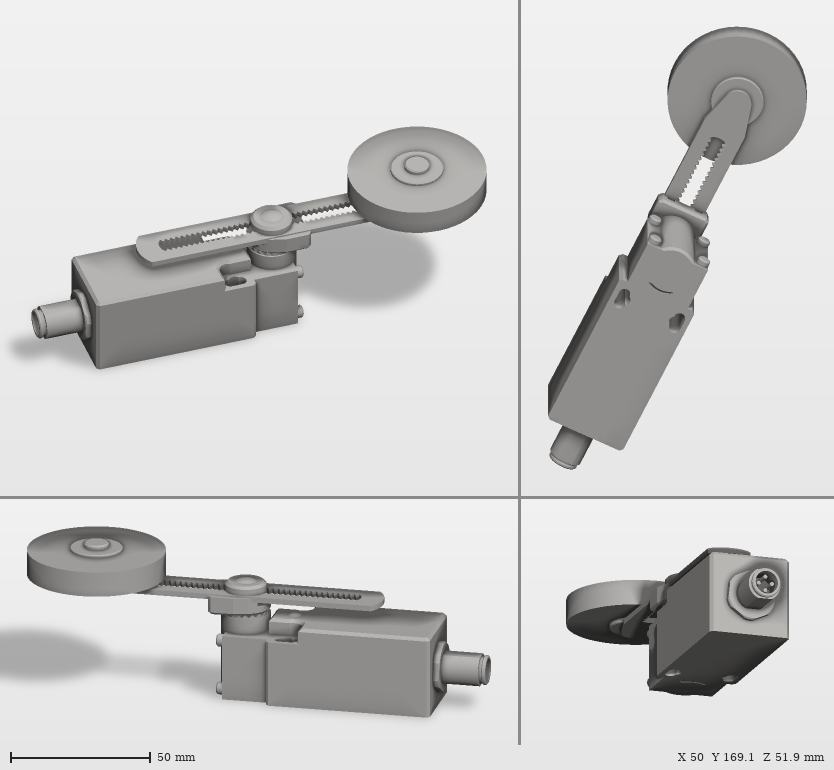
import cadquery as cq
import math


housing_width = 30.0
housing_height = 30.0
housing_rear_y = -10.5
housing_front_y = -70.9
housing_chamfer = 1.1
neck_width = 24.0
shoulder_z = 24.0
notch_wall_y = -22.6
ridge_width = 12.8
ridge_rear_y = -9.9
notch_pocket_x = 9.3
notch_pocket_radius = 3.3

slot_x = 10.95
slot_y = -17.2
slot_length = 8.1
slot_width = 4.1
slot_relief_x = 10.1
slot_relief_radius = 2.2

lamp_y = -18.0
lamp_radius = 2.6
lamp_rise = 0.75

connector_z = 14.4
nut_corner_radius = 10.05
nut_thickness = 2.2
nut_angle = 24.0
nut_rim_radius = 9.3
nut_chamfer = 0.5
stem_radius = 6.0
stem_flat_height = 5.4
stem_end_y = -86.7
groove_radius = 4.9
groove_width = 0.9
tip_radius = 5.4
tip_chamfer = 0.4
tip_end_y = -89.1
bore_radius = 4.2
bore_depth = 9.0
contact_count = 4
contact_radius = 0.75
contact_circle_radius = 2.5
contact_recess = 1.5

joint_y = -7.2
tongue_y = -9.9
tongue_bottom_z = 6.1
tongue_top_z = 18.4
head_block_rear_y = 6.0
head_shaft_radius = 9.0
head_shaft_top_z = 30.0
head_shaft_chamfer = 0.9
head_screw_x = 9.7
head_screw_z = (3.5, 21.7)
head_screw_radius = 2.3
head_screw_height = 2.4
head_screw_chamfer = 0.5

tooth_count = 18
tooth_height = 1.1
tooth_width = 2.6
tooth_outer_radius = 8.4
tooth_inner_radius = 5.5

hub_bottom_z = head_shaft_top_z + tooth_height
hub_top_z = 37.8
hub_width = 20.0
hub_rear_y = 12.0
hub_flat_end_y = 2.5
hub_nose_radius = 9.0
hub_corner_chamfer = 1.3
hub_bottom_chamfer = 0.9
hub_groove_inner_x = 4.0
hub_groove_outer_x = 6.9
hub_groove_depth = 2.1

arm_bottom_z = 36.3
arm_thickness = 2.0
arm_top_z = arm_bottom_z + arm_thickness
arm_width = 16.0
arm_front_y = -50.6
arm_front_corner_y = -47.7
arm_taper_start_y = 44.7
roller_y = 55.0
arm_tip_radius = 5.1
serration_pitch = 2.0
serration_inner_x = 2.15
serration_outer_x = 3.45
first_serration_y = -41.0
serration_count = 41
arm_slot_end_step = 1.0
arm_slot_end_rise = 0.4

clamp_head_radius = 7.5
clamp_head_height = 3.3
clamp_head_chamfer = 1.0
clamp_dome_radius = 4.0
clamp_dome_rise = 0.9
clamp_shank_radius = 2.0
clamp_shank_bottom_z = 33.0

roller_radius = 25.0
roller_bottom_z = 39.9
roller_top_z = 49.1
bush_radius = 9.5
bush_top_z = 50.2
bush_chamfer = 0.3
rivet_head_radius = 4.5
rivet_top_z = 51.9
rivet_chamfer = 0.5
rivet_shank_radius = 2.5


def box(x_min, x_max, y_min, y_max, z_min, z_max):
    """Axis-aligned box between the given limits."""
    size = (x_max - x_min, y_max - y_min, z_max - z_min)
    return cq.Workplane("XY").box(*size, centered=False).translate((x_min, y_min, z_min))


def disc(radius, z_min, z_max, x=0.0, y=0.0):
    """Vertical cylinder."""
    return cq.Workplane("XY", origin=(x, y, z_min)).circle(radius).extrude(z_max - z_min)


def bar(radius, y_rear, y_front, x=0.0, z=connector_z):
    """Cylinder along Y, running toward -Y from y_rear to y_front."""
    return cq.Workplane("XZ", origin=(x, y_rear, z)).circle(radius).extrude(y_rear - y_front)


def dome(base_radius, rise, z_base, y=0.0):
    """Spherical cap standing on the plane z_base."""
    profile = (
        cq.Workplane("XZ")
        .lineTo(base_radius, 0)
        .radiusArc((0, rise), -(base_radius**2 + rise**2) / (2 * rise))
        .close()
    )
    return profile.revolve(360, (0, 0, 0), (0, 1, 0)).translate((0, y, z_base))


def make_notch(side):
    """Space above one mounting shoulder, with a round pocket at its inner corner."""
    pocket_y = notch_wall_y + notch_pocket_radius
    pocket_x = side * notch_pocket_x
    x_min, x_max = sorted((side * ridge_width / 2, side * housing_width))
    inner_part = box(x_min, x_max, pocket_y, 0, shoulder_z, housing_height)
    x_min, x_max = sorted((pocket_x, side * housing_width))
    outer_part = box(x_min, x_max, notch_wall_y, pocket_y, shoulder_z, housing_height)
    pocket = disc(notch_pocket_radius, shoulder_z, housing_height, pocket_x, pocket_y)
    return inner_part.union(outer_part).union(pocket)


def make_mounting_slot(side):
    """Through slot in one mounting shoulder, widened on its inner side."""
    slot = (
        cq.Workplane("XY", origin=(side * slot_x, slot_y, 0))
        .slot2D(slot_length, slot_width, 90)
        .extrude(shoulder_z)
    )
    return slot.union(disc(slot_relief_radius, 0, shoulder_z, side * slot_relief_x, slot_y))


def make_connector():
    """Hexagon collar and flatted stem with a groove, a hollow tip and contacts in its bore."""
    nut_end_y = housing_front_y - nut_thickness
    nut = (
        cq.Workplane("XZ", origin=(0, housing_front_y, connector_z))
        .polygon(6, 2 * nut_corner_radius)
        .extrude(nut_thickness)
        .rotate((0, 0, connector_z), (0, 1, connector_z), -nut_angle)
    )
    nut_rim = bar(nut_rim_radius, housing_front_y, nut_end_y).faces("<Y").chamfer(nut_chamfer)
    nut = nut.intersect(nut_rim)

    stem = bar(stem_radius, nut_end_y, stem_end_y)
    flats = box(
        -stem_radius, stem_radius, stem_end_y, nut_end_y,
        connector_z - stem_flat_height, connector_z + stem_flat_height,
    )
    tip_start_y = stem_end_y - groove_width
    groove = bar(groove_radius, stem_end_y, tip_start_y)
    tip = bar(tip_radius, tip_start_y, tip_end_y).faces("<Y or >Y").chamfer(tip_chamfer)
    bore_floor_y = tip_end_y + bore_depth
    bore = bar(bore_radius, bore_floor_y, tip_end_y)

    connector = nut.union(stem.intersect(flats)).union(groove).union(tip).cut(bore)
    for i in range(contact_count):
        angle = 2 * math.pi * i / contact_count
        contact = bar(
            contact_radius, bore_floor_y, tip_end_y + contact_recess,
            contact_circle_radius * math.cos(angle),
            connector_z + contact_circle_radius * math.sin(angle),
        )
        connector = connector.union(contact)
    return connector


def make_housing():
    half_width = housing_width / 2
    body = box(-half_width, half_width, housing_front_y, housing_rear_y, 0, housing_height)
    body = body.edges("|Z").chamfer(housing_chamfer)
    body = body.union(box(
        -ridge_width / 2, ridge_width / 2, notch_wall_y, ridge_rear_y, shoulder_z, housing_height,
    ))
    for side in (-1, 1):
        body = body.cut(make_notch(side))
    body = body.faces(">Z").chamfer(housing_chamfer)

    neck = box(-neck_width / 2, neck_width / 2, housing_rear_y, joint_y, 0, shoulder_z)
    tongue_recess = box(
        -neck_width / 2, neck_width / 2, tongue_y, joint_y, tongue_bottom_z, tongue_top_z,
    )
    shaft_recess = disc(head_shaft_radius, 0, shoulder_z)
    body = body.union(neck.cut(tongue_recess).cut(shaft_recess))
    for side in (-1, 1):
        body = body.cut(make_mounting_slot(side))
    return body.union(dome(lamp_radius, lamp_rise, housing_height, lamp_y)).union(make_connector())


def make_tooth_ring():
    """Ring of radial V-shaped teeth around a central boss."""
    ring = disc(tooth_inner_radius, head_shaft_top_z, hub_bottom_z)
    rim = disc(tooth_outer_radius, head_shaft_top_z, hub_bottom_z)
    tooth = (
        cq.Workplane("YZ", origin=(0, 0, head_shaft_top_z))
        .polyline([(-tooth_width / 2, 0), (tooth_width / 2, 0), (0, tooth_height)])
        .close()
        .extrude(head_shaft_radius)
    )
    for i in range(tooth_count):
        ring = ring.union(tooth.rotate((0, 0, 0), (0, 0, 1), 90 + 360 * i / tooth_count))
    return ring.intersect(rim)


def make_head():
    half_width = neck_width / 2
    head = box(-half_width, half_width, joint_y, head_block_rear_y, 0, shoulder_z)
    head = head.union(box(
        -half_width, half_width, tongue_y, joint_y, tongue_bottom_z, tongue_top_z,
    ))
    shaft = disc(head_shaft_radius, 0, head_shaft_top_z).faces("<Z").chamfer(head_shaft_chamfer)
    head = head.union(shaft)
    for side in (-1, 1):
        for z in head_screw_z:
            screw_head = (
                bar(head_screw_radius, head_block_rear_y + head_screw_height, head_block_rear_y,
                    side * head_screw_x, z)
                .faces(">Y").chamfer(head_screw_chamfer)
            )
            head = head.union(screw_head)
    return head.union(make_tooth_ring())


def make_hub():
    half_width = hub_width / 2
    corner_distance = math.hypot(half_width, hub_flat_end_y)
    tangent_angle = (
        math.atan2(hub_flat_end_y, half_width) - math.acos(hub_nose_radius / corner_distance)
    )
    nose_x = hub_nose_radius * math.cos(tangent_angle)
    nose_y = hub_nose_radius * math.sin(tangent_angle)
    hub = (
        cq.Workplane("XY", origin=(0, 0, hub_bottom_z))
        .moveTo(half_width, hub_rear_y)
        .lineTo(half_width, hub_flat_end_y)
        .lineTo(nose_x, nose_y)
        .threePointArc((0, -hub_nose_radius), (-nose_x, nose_y))
        .lineTo(-half_width, hub_flat_end_y)
        .lineTo(-half_width, hub_rear_y)
        .close()
        .extrude(hub_top_z - hub_bottom_z)
        .edges("|Z and >Y").chamfer(hub_corner_chamfer)
        .faces("<Z").chamfer(hub_bottom_chamfer)
    )
    half_arm = arm_width / 2
    hub = hub.cut(box(-half_arm, half_arm, -hub_width, hub_width, arm_bottom_z, hub_top_z))
    for side in (-1, 1):
        inner_x, outer_x = sorted((side * hub_groove_inner_x, side * hub_groove_outer_x))
        hub = hub.cut(box(
            inner_x, outer_x, -hub_width, hub_width, arm_bottom_z - hub_groove_depth, arm_bottom_z,
        ))
    return hub.cut(disc(clamp_shank_radius, clamp_shank_bottom_z, hub_top_z))


def make_arm_slot():
    """Long slot with V serrations along both sides and shallow arcs at its ends."""
    right_side = []
    for i in range(serration_count):
        y = first_serration_y + i * serration_pitch
        right_side.append((serration_inner_x, y - serration_pitch / 2))
        right_side.append((serration_outer_x, y))
    last_y = first_serration_y + (serration_count - 1) * serration_pitch
    right_side.append((serration_inner_x, last_y + arm_slot_end_step))
    left_side = [(-x, y) for x, y in reversed(right_side)]
    bottom_y = first_serration_y - arm_slot_end_step
    top_y = last_y + arm_slot_end_step
    return (
        cq.Workplane("XY", origin=(0, 0, arm_bottom_z))
        .polyline(right_side)
        .threePointArc((0, top_y + arm_slot_end_rise), left_side[0])
        .polyline(left_side[1:], includeCurrent=True)
        .threePointArc((0, bottom_y - arm_slot_end_rise), right_side[0])
        .close()
        .extrude(arm_thickness)
    )


def make_arm():
    half_width = arm_width / 2
    taper_y = arm_taper_start_y - roller_y
    tangent_angle = (
        math.atan2(taper_y, half_width)
        + math.acos(arm_tip_radius / math.hypot(half_width, taper_y))
    )
    tip_x = arm_tip_radius * math.cos(tangent_angle)
    tip_y = roller_y + arm_tip_radius * math.sin(tangent_angle)
    arm = (
        cq.Workplane("XY", origin=(0, 0, arm_bottom_z))
        .moveTo(half_width, arm_front_corner_y)
        .lineTo(half_width, arm_taper_start_y)
        .lineTo(tip_x, tip_y)
        .threePointArc((0, roller_y + arm_tip_radius), (-tip_x, tip_y))
        .lineTo(-half_width, arm_taper_start_y)
        .lineTo(-half_width, arm_front_corner_y)
        .threePointArc((0, arm_front_y), (half_width, arm_front_corner_y))
        .close()
        .extrude(arm_thickness)
    )
    arm = arm.cut(make_arm_slot())
    return arm.cut(disc(rivet_shank_radius, arm_bottom_z, arm_top_z, y=roller_y))


def make_clamp_screw():
    head_top_z = arm_top_z + clamp_head_height
    head = disc(clamp_head_radius, arm_top_z, head_top_z).faces(">Z").chamfer(clamp_head_chamfer)
    shank = disc(clamp_shank_radius, clamp_shank_bottom_z, arm_top_z)
    return head.union(dome(clamp_dome_radius, clamp_dome_rise, head_top_z)).union(shank)


def make_roller():
    wheel = disc(roller_radius, roller_bottom_z, roller_top_z, y=roller_y)
    bush = disc(bush_radius, arm_top_z, bush_top_z, y=roller_y)
    bush = bush.faces("<Z or >Z").chamfer(bush_chamfer)
    rivet_head = disc(rivet_head_radius, bush_top_z, rivet_top_z, y=roller_y)
    rivet_head = rivet_head.faces(">Z").chamfer(rivet_chamfer)
    rivet_shank = disc(rivet_shank_radius, arm_bottom_z, arm_top_z, y=roller_y)
    return wheel.union(bush).union(rivet_head).union(rivet_shank)


housing = make_housing()
head = make_head()
hub = make_hub()
arm = make_arm()
clamp_screw = make_clamp_screw()
roller = make_roller()

bodies = (housing, head, hub, arm, clamp_screw, roller)
result = cq.Compound.makeCompound([body.solids().val() for body in bodies])